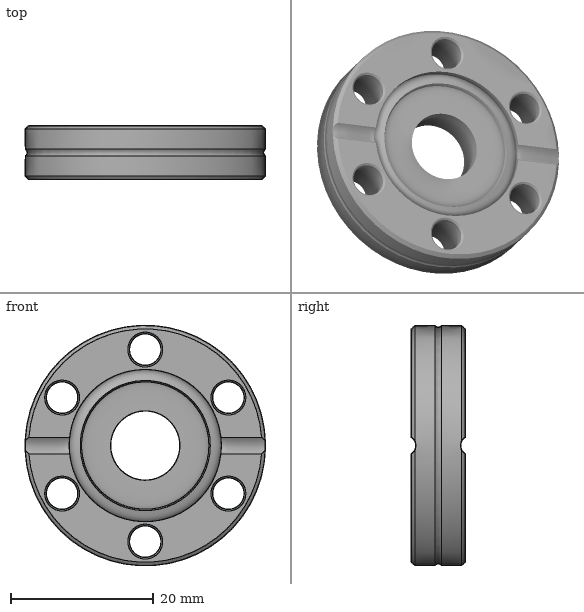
import cadquery as cq
import math

flange_radius = 33.8 / 2
flange_thickness = 7.6
rim_chamfer = 0.5
bore_radius = 9.7 / 2

recess_radius = 21.4 / 2
knife_tip_radius = 9.15
inner_face_radius = 8.95
recess_depth = 1.17
knife_angle = 20
inner_face_depth = recess_depth

rim_groove_radius = 0.58
rim_groove_depth = 0.25

bolt_count = 6
bolt_circle_radius = 13.5
bolt_hole_diameter = 4.4
bolt_hole_chamfer = 0.25

channel_radius = 1.37
channel_depth = 0.63

half_thickness = flange_thickness / 2
recess_floor_y = half_thickness - recess_depth
inner_face_y = half_thickness - inner_face_depth
knife_height = (recess_radius - knife_tip_radius) * math.tan(math.radians(knife_angle))
knife_tip_y = recess_floor_y + knife_height
rim_groove_half_width = math.sqrt(rim_groove_radius**2 - (rim_groove_radius - rim_groove_depth) ** 2)


def make_body():
    """Revolve the flange section, drawn as radius along X and height along Y."""
    chamfered_radius = flange_radius - rim_chamfer
    chamfered_y = half_thickness - rim_chamfer
    section = (
        cq.Workplane("XY")
        .moveTo(bore_radius, -inner_face_y)
        .lineTo(inner_face_radius, -inner_face_y)
        .lineTo(knife_tip_radius, -knife_tip_y)
        .lineTo(recess_radius, -recess_floor_y)
        .lineTo(recess_radius, -half_thickness)
        .lineTo(chamfered_radius, -half_thickness)
        .lineTo(flange_radius, -chamfered_y)
        .lineTo(flange_radius, -rim_groove_half_width)
        .threePointArc(
            (flange_radius - rim_groove_depth, 0),
            (flange_radius, rim_groove_half_width),
        )
        .lineTo(flange_radius, chamfered_y)
        .lineTo(chamfered_radius, half_thickness)
        .lineTo(recess_radius, half_thickness)
        .lineTo(recess_radius, recess_floor_y)
        .lineTo(knife_tip_radius, knife_tip_y)
        .lineTo(inner_face_radius, inner_face_y)
        .lineTo(bore_radius, inner_face_y)
        .close()
    )
    return section.revolve(360, (0, 0, 0), (0, 1, 0))


def make_bolt_holes():
    """Through holes around the bolt circle, chamfered at both faces."""
    hole_radius = bolt_hole_diameter / 2
    mouth_radius = hole_radius + bolt_hole_chamfer
    chamfer_y = half_thickness - bolt_hole_chamfer
    hole = (
        cq.Workplane("XY")
        .polyline(
            [
                (0, -half_thickness),
                (mouth_radius, -half_thickness),
                (hole_radius, -chamfer_y),
                (hole_radius, chamfer_y),
                (mouth_radius, half_thickness),
                (0, half_thickness),
            ]
        )
        .close()
        .revolve(360, (0, 0, 0), (0, 1, 0))
        .translate((0, 0, bolt_circle_radius))
    )
    holes = cq.Workplane("XY")
    for index in range(bolt_count):
        angle = index * 360 / bolt_count
        holes = holes.add(hole.rotate((0, 0, 0), (0, 1, 0), angle))
    return holes.combine()


def make_channels():
    """Round-bottomed channels on both faces, from the rim inward to the gasket recess."""
    axis_y = half_thickness - channel_depth + channel_radius
    channels = (
        cq.Workplane("YZ")
        .pushPoints([(-axis_y, 0), (axis_y, 0)])
        .circle(channel_radius)
        .extrude(flange_radius, both=True)
    )
    recess_core = cq.Workplane("XZ").circle(recess_radius).extrude(flange_thickness, both=True)
    return channels.cut(recess_core)


result = make_body().cut(make_bolt_holes()).cut(make_channels())